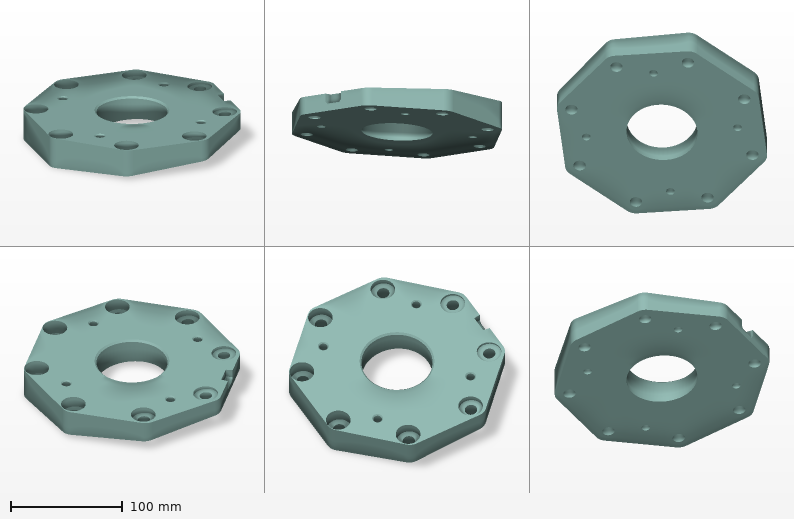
import cadquery as cq
import math

width = 181.8
front_height = 28.7
tilt_angle = 4.0
corner_radius = 12.0

bore_diameter = 63.6
bore_chamfer = 1.6
small_hole_diameter = 7.6
small_hole_chamfer = 1.0
small_hole_offset = 48.2

bolt_count = 8
bolt_circle_radius = 84.3
bolt_hole_diameter = 11.0
counterbore_diameter = 22.0
seat_thickness = 14.5

notch_mouth_width = 17.5
notch_back_width = 16.0
notch_depth = 6.2
notch_drop = 9.0
notch_floor_width = 13.8
notch_floor_depth = 4.5
notch_bevel_height = 1.6
notch_floor_chamfer = 1.0

half_width = width / 2
slope = math.tan(math.radians(tilt_angle))
tilt_cosine = math.cos(math.radians(tilt_angle))
center_height = front_height - half_width * slope
cutter_length = 2 * front_height


def make_plate():
    """Rounded octagon, level on top and cut to a wedge underneath."""
    outline = (
        cq.Workplane("XY")
        .polygon(8, width, circumscribed=True)
        .extrude(front_height)
        .edges("|Z")
        .fillet(corner_radius)
    )
    rear_rise = width * slope
    wedge = (
        cq.Workplane("YZ")
        .moveTo(-half_width, 0)
        .lineTo(half_width, 0)
        .lineTo(half_width, rear_rise)
        .close()
        .extrude(half_width, both=True)
    )
    return outline.cut(wedge)


def chamfered_holes(points, diameter, chamfer):
    """Vertical through holes with a chamfer at the level top."""
    holes = cq.Workplane("XY").pushPoints(points).circle(diameter / 2).extrude(front_height)
    mouths = (
        cq.Workplane("XY", origin=(0, 0, front_height))
        .pushPoints(points)
        .circle(diameter / 2 + chamfer)
        .extrude(-diameter / 2 - chamfer, taper=45)
    )
    return holes.union(mouths)


def bolt_holes():
    """Counterbored holes whose axes are square to the underside."""
    cutters = cq.Workplane("XY")
    axis = cq.Vector(0, -slope, 1)
    for index in range(bolt_count):
        angle = math.radians((index + 0.5) * 360 / bolt_count)
        x = bolt_circle_radius * math.cos(angle)
        y = bolt_circle_radius * math.sin(angle) / tilt_cosine - center_height * slope
        top_point = cq.Vector(x, y, front_height)
        bottom_height = (half_width + y) * slope
        square_thickness = (front_height - bottom_height) * tilt_cosine
        seat = top_point - axis.normalized() * (square_thickness - seat_thickness)
        start = top_point - axis.normalized() * cutter_length
        hole = cq.Solid.makeCylinder(bolt_hole_diameter / 2, 2 * cutter_length, start, axis)
        bore = cq.Solid.makeCylinder(counterbore_diameter / 2, cutter_length, seat, axis)
        cutters = cutters.add(hole).add(bore)
    return cutters.combine()


def notch_outline(mouth_width, back_width, depth):
    """Points of a trapezoid opening at the rear edge."""
    back = half_width - depth
    return [
        (-mouth_width / 2, half_width),
        (-back_width / 2, back),
        (back_width / 2, back),
        (mouth_width / 2, half_width),
    ]


def rear_notch():
    """Upright-walled notch, bevelled around its floor and along the floor's open edge."""
    floor_height = front_height - notch_drop
    wall_foot = floor_height + notch_bevel_height
    wall_outline = notch_outline(notch_mouth_width, notch_back_width, notch_depth)
    floor_outline = notch_outline(notch_floor_width, notch_floor_width, notch_floor_depth)
    pocket = (
        cq.Workplane("XY", origin=(0, 0, wall_foot))
        .polyline(wall_outline)
        .close()
        .extrude(front_height - wall_foot)
    )
    bevelled_floor = (
        cq.Workplane("XY", origin=(0, 0, floor_height))
        .polyline(floor_outline)
        .close()
        .workplane(offset=notch_bevel_height)
        .polyline(wall_outline)
        .close()
        .loft(ruled=True)
    )
    floor_bevel = (
        cq.Workplane("YZ")
        .moveTo(half_width, floor_height)
        .lineTo(half_width - notch_floor_chamfer, floor_height)
        .lineTo(half_width, floor_height - notch_floor_chamfer)
        .close()
        .extrude(notch_floor_width / 2, both=True)
    )
    return pocket.union(bevelled_floor).union(floor_bevel)


small_hole_points = [
    (x_side * small_hole_offset, y_side * small_hole_offset)
    for x_side in (-1, 1)
    for y_side in (-1, 1)
]

result = (
    make_plate()
    .cut(chamfered_holes([(0, 0)], bore_diameter, bore_chamfer))
    .cut(chamfered_holes(small_hole_points, small_hole_diameter, small_hole_chamfer))
    .cut(bolt_holes())
    .cut(rear_notch())
)